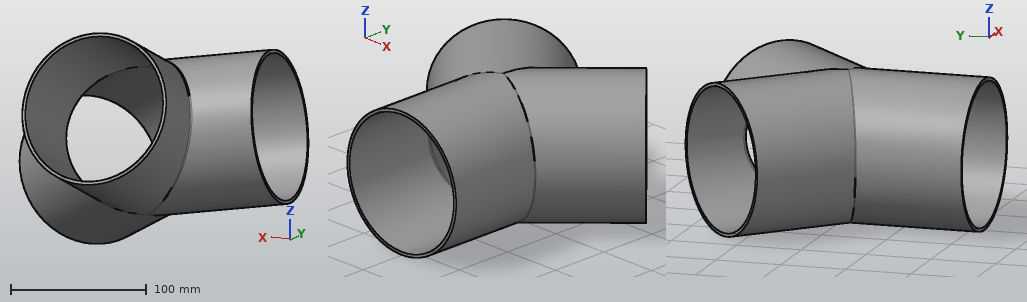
import cadquery as cq
import math

outer_diameter = 114.2
inner_diameter = 109.2
branch_angle = 45.0
overall_width = 229.3
outer_seam_radius = 1.0
bore_seam_radius = 3.7

outer_radius = outer_diameter / 2
tilt = math.radians(branch_angle)
arm_length = (overall_width / 2 - outer_radius * math.cos(tilt)) / math.sin(tilt)

arm_angles = (-90.0, 90.0 - branch_angle, 90.0 + branch_angle)


def arm(diameter, angle):
    """Cylinder from the common centre outwards along one arm direction."""
    cylinder = cq.Workplane("YZ").circle(diameter / 2).extrude(arm_length)
    return cylinder.rotate((0, 0, 0), (0, 0, 1), angle)


def three_arms(diameter, seam_radius):
    """Three equal cylinders meeting at the common centre, with rounded seams."""
    body = arm(diameter, arm_angles[0])
    for angle in arm_angles[1:]:
        body = body.union(arm(diameter, angle))
    return body.edges("%ELLIPSE").fillet(seam_radius)


outer_body = three_arms(outer_diameter, outer_seam_radius)
bore = three_arms(inner_diameter, bore_seam_radius)

result = outer_body.cut(bore)